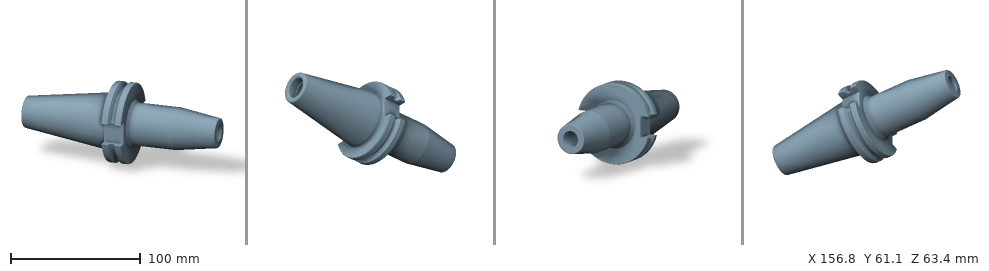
import cadquery as cq

total_length = 156.8
taper_length = 68.2
collar_end = 70.4
flange_start = 71.4
flange_width = 15.7
flange_end = flange_start + flange_width
shoulder_length = 2.7
shoulder_end = flange_end + shoulder_length
nose_start = 123.9

gauge_radius = 22.3
taper_ratio = 7 / 24
taper_end_radius = gauge_radius - taper_length * taper_ratio / 2
flare_radius = 23.0
flange_radius = 31.7
shoulder_radius = 19.0
body_radius = 16.6
nose_tip_radius = 11.6

taper_end_fillet = 1.4
nose_tip_fillet = 0.8
flange_chamfer_length = 1.0
flange_chamfer_depth = 0.3

groove_center = 79.2
groove_top_width = 6.1
groove_floor_width = 2.0
groove_floor_radius = 28.0

slot_width = 16.8
slot_floor = 23.8

bore_radius = 6.5
counterbore_radius = 8.2
counterbore_depth = 7.5
mouth_radius = 9.3
mouth_chamfer_length = 1.1


def revolve_profile(points):
    """Revolve a closed (x, radius) outline about the X axis."""
    return cq.Workplane("XY").polyline(points).close().revolve(360, (0, 0, 0), (1, 0, 0))


def make_shank():
    """Taper, collar, shoulder, cylindrical body and conical nose."""
    shank = revolve_profile([
        (0, 0),
        (0, taper_end_radius),
        (taper_length, gauge_radius),
        (collar_end, gauge_radius),
        (flange_start, flare_radius),
        (flange_end, flare_radius),
        (flange_end, shoulder_radius),
        (shoulder_end, body_radius),
        (nose_start, body_radius),
        (total_length, nose_tip_radius),
        (total_length, 0),
    ])
    shank = shank.faces("<X").edges().fillet(taper_end_fillet)
    return shank.faces(">X").edges().fillet(nose_tip_fillet)


def make_flange():
    """Grooved flange with chamfered rims and two drive slots."""
    rim_radius = flange_radius - flange_chamfer_depth
    flange = revolve_profile([
        (flange_start, 0),
        (flange_start, rim_radius),
        (flange_start + flange_chamfer_length, flange_radius),
        (groove_center - groove_top_width / 2, flange_radius),
        (groove_center - groove_floor_width / 2, groove_floor_radius),
        (groove_center + groove_floor_width / 2, groove_floor_radius),
        (groove_center + groove_top_width / 2, flange_radius),
        (flange_end - flange_chamfer_length, flange_radius),
        (flange_end, rim_radius),
        (flange_end, 0),
    ])
    for side in (-1, 1):
        slot = cq.Workplane("XY").box(flange_width, flange_radius, slot_width)
        slot_center_x = (flange_start + flange_end) / 2
        slot_center_y = side * (slot_floor + flange_radius / 2)
        flange = flange.cut(slot.translate((slot_center_x, slot_center_y, 0)))
    return flange


def make_bore():
    """Through bore with a chamfered counterbore at the taper end."""
    return revolve_profile([
        (0, 0),
        (0, mouth_radius),
        (mouth_chamfer_length, counterbore_radius),
        (counterbore_depth, counterbore_radius),
        (counterbore_depth, bore_radius),
        (total_length, bore_radius),
        (total_length, 0),
    ])


result = make_shank().union(make_flange()).cut(make_bore())